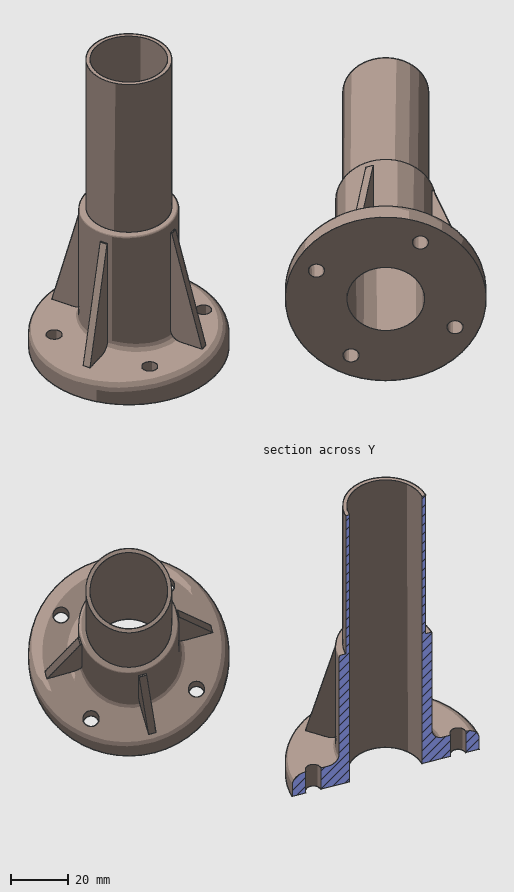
import cadquery as cq
import math

flange_diameter = 70.0
flange_height = 10.0
flange_edge_radius = 5.0
flange_flat_radius = flange_diameter / 2 - flange_edge_radius

collar_radius = 17.5
collar_top = 60.0
collar_edge_radius = 1.0
collar_root_radius = 4.0

tube_radius = 15.0
bore_radius = 13.5
total_height = 124.0

hole_diameter = 5.6
hole_circle_radius = 27.0
hole_count = 4

rib_count = 4
rib_first_angle = 45
rib_thickness = 2.7
rib_top = 55.8
rib_top_radius = 18.0


def cylinder(radius, bottom, top):
    """Solid cylinder on the Z axis between two heights."""
    return cq.Workplane("XY").workplane(offset=bottom).circle(radius).extrude(top - bottom)


def make_body():
    """Rounded flange and collar, blended together, with the tube above."""
    flange = cylinder(flange_diameter / 2, 0, flange_height).faces(">Z").edges().fillet(flange_edge_radius)
    collar = cylinder(collar_radius, 0, collar_top).faces(">Z").edges().fillet(collar_edge_radius)
    root_outer_radius = collar_radius + collar_root_radius
    root_top = flange_height + collar_root_radius
    arc_offset = collar_root_radius * (1 - math.sqrt(0.5))
    root = (
        cq.Workplane("XZ")
        .moveTo(bore_radius, flange_height)
        .lineTo(root_outer_radius, flange_height)
        .threePointArc(
            (collar_radius + arc_offset, flange_height + arc_offset),
            (collar_radius, root_top),
        )
        .lineTo(bore_radius, root_top)
        .close()
        .revolve(360, (0, 0, 0), (0, 1, 0))
    )
    tube = cylinder(tube_radius, 0, total_height)
    return flange.union(collar).union(root).union(tube)


def make_rib(angle):
    """Tapered rib running from the flange up the side of the collar."""
    return (
        cq.Workplane("XZ")
        .moveTo(bore_radius, flange_height)
        .lineTo(flange_flat_radius, flange_height)
        .lineTo(rib_top_radius, rib_top)
        .lineTo(bore_radius, rib_top)
        .close()
        .extrude(rib_thickness / 2, both=True)
        .rotate((0, 0, 0), (0, 0, 1), angle)
    )


def make_holes():
    """Mounting holes through the flange."""
    return (
        cq.Workplane("XY")
        .polarArray(hole_circle_radius, 0, 360, hole_count)
        .circle(hole_diameter / 2)
        .extrude(flange_height)
    )


result = make_body()
for index in range(rib_count):
    result = result.union(make_rib(rib_first_angle + index * 360 / rib_count))
result = result.cut(make_holes()).cut(cylinder(bore_radius, 0, total_height))